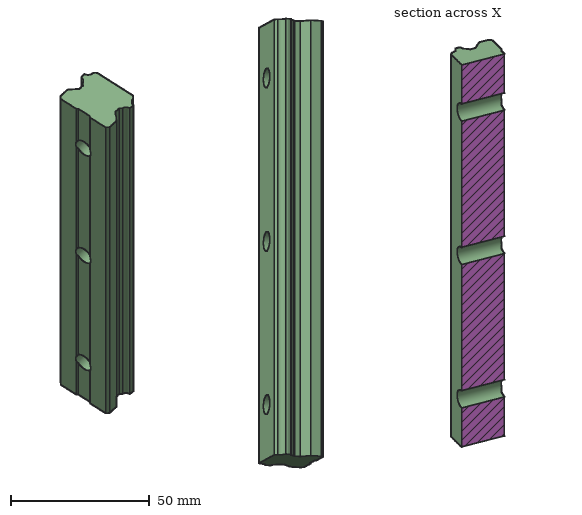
import cadquery as cq
import math

LENGTH = 160.0
WIDTH = 23.0
DEPTH = 18.0
HALF_WIDTH = WIDTH / 2

BASE_CHAMFER = 1.0
FLANK_TOP = 5.0
RELIEF_HALF_WIDTH = 3.2
RELIEF_DEPTH = 0.5

NECK_HALF_WIDTH = 8.5
NECK_BOTTOM = FLANK_TOP + HALF_WIDTH - NECK_HALF_WIDTH

TRACK_HALF_WIDTH = 9.5
LOWER_TRACK_START = 11.0
NECK_TOP = LOWER_TRACK_START - (TRACK_HALF_WIDTH - NECK_HALF_WIDTH)
LIP_BOTTOM = 12.5
LIP_BEVEL_WIDTH = 0.2
LIP_BEVEL_TOP = 13.5
LIP_TOP = 14.5
CROWN_CHAMFER = 1.0
CROWN_BOTTOM = DEPTH - CROWN_CHAMFER
CROWN_HALF_WIDTH = TRACK_HALF_WIDTH - CROWN_CHAMFER
LOWER_TRACK_SAG = 0.5
UPPER_TRACK_SAG = 0.6

HOLE_DIAMETER = 7.0
HOLE_PITCH = 60.0
HOLE_COUNT = 3


def bulged_arc(outline, start, end, sag):
    """Add an arc bowed by sag to the left of the direction from start to end."""
    dx = end[0] - start[0]
    dy = end[1] - start[1]
    chord = math.hypot(dx, dy)
    middle = (
        (start[0] + end[0]) / 2 - sag * dy / chord,
        (start[1] + end[1]) / 2 + sag * dx / chord,
    )
    return outline.threePointArc(middle, end)


def half_rail():
    """Extrude the +X half of the rail section."""
    track_start = (TRACK_HALF_WIDTH, LOWER_TRACK_START)
    lip_bottom = (HALF_WIDTH - LIP_BEVEL_WIDTH, LIP_BOTTOM)
    lip_top = (HALF_WIDTH, LIP_TOP)
    crown_bottom = (TRACK_HALF_WIDTH, CROWN_BOTTOM)

    outline = (
        cq.Workplane("XY")
        .moveTo(0, RELIEF_DEPTH)
        .lineTo(RELIEF_HALF_WIDTH - RELIEF_DEPTH, RELIEF_DEPTH)
        .lineTo(RELIEF_HALF_WIDTH, 0)
        .lineTo(HALF_WIDTH - BASE_CHAMFER, 0)
        .lineTo(HALF_WIDTH, BASE_CHAMFER)
        .lineTo(HALF_WIDTH, FLANK_TOP)
        .lineTo(NECK_HALF_WIDTH, NECK_BOTTOM)
        .lineTo(NECK_HALF_WIDTH, NECK_TOP)
        .lineTo(*track_start)
    )
    outline = bulged_arc(outline, track_start, lip_bottom, LOWER_TRACK_SAG)
    outline = outline.lineTo(HALF_WIDTH, LIP_BEVEL_TOP).lineTo(*lip_top)
    outline = bulged_arc(outline, lip_top, crown_bottom, UPPER_TRACK_SAG)
    return outline.lineTo(CROWN_HALF_WIDTH, DEPTH).lineTo(0, DEPTH).close().extrude(LENGTH)


def mounting_holes():
    """Make the through-hole cylinders, evenly spaced about mid-length."""
    first = LENGTH / 2 - HOLE_PITCH * (HOLE_COUNT - 1) / 2
    centers = [(0, first + index * HOLE_PITCH) for index in range(HOLE_COUNT)]
    return cq.Workplane("XZ").pushPoints(centers).circle(HOLE_DIAMETER / 2).extrude(-DEPTH)


half = half_rail()
rail = half.union(half.mirror("YZ")).clean()
result = rail.cut(mounting_holes())